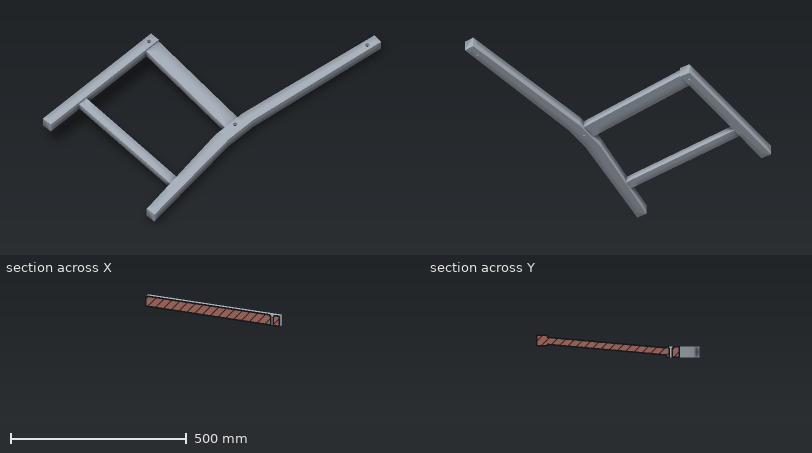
import cadquery as cq

overall_height = 901.0
overall_width = 65.0
leg_thickness = 31.5
front_leg_rise = 2.0

front_leg_depth = 31.5
front_leg_top = 436.0

post_front = 369.0
post_back = 408.0
back_bend_height = 436.0
foot_bend_front_height = 327.0
foot_bend_back_height = 340.0
back_bend_back_height = 439.5
foot_front = 421.0
foot_back = 451.0
back_top_front = 435.0
back_top_back = 465.0
back_top_drop = 4.0

rail_drop = 33.0
rail_front_mid_z = overall_width - leg_thickness / 2
stretcher_thickness = 20.0
seat_rail_thickness = 22.0
seat_rail_height = 50.0
seat_rail_fall = 20.0
stretcher_bottom = 115.0
stretcher_height = 30.0
stretcher_back = 402.0

hole_diameter = 6.0
counterbore_diameter = 13.0
counterbore_depth = 4.5
front_leg_hole = (16.0, 412.0)
post_hole = (383.0, 393.0)
back_hole = (446.0, 861.0)


def make_front_leg():
    return (
        cq.Workplane("XY")
        .box(front_leg_depth, front_leg_top - front_leg_rise, leg_thickness, centered=False)
        .translate((0, front_leg_rise, overall_width - leg_thickness))
    )


def make_rear_leg():
    outline = [
        (foot_front, 0),
        (foot_back, 0),
        (post_back, foot_bend_back_height),
        (post_back, back_bend_back_height),
        (back_top_back, overall_height - back_top_drop),
        (back_top_front, overall_height),
        (post_front, back_bend_height),
        (post_front, foot_bend_front_height),
    ]
    return cq.Workplane("XY").polyline(outline).close().extrude(leg_thickness)


def make_rail(outline, thickness):
    """Sloping rail: a band in XZ trimmed to the given outline in XY."""
    start = front_leg_depth / 2
    end = (post_front + post_back) / 2
    slope = rail_drop / (end - start)
    far = post_back
    mid_far = rail_front_mid_z - slope * (far - start)
    half = thickness / 2
    band = (
        cq.Workplane("XZ")
        .polyline([
            (start, rail_front_mid_z - half),
            (far, mid_far - half),
            (far, mid_far + half),
            (start, rail_front_mid_z + half),
        ])
        .close()
        .extrude(-overall_height)
    )
    blank = cq.Workplane("XY").polyline(outline).close().extrude(overall_width)
    return band.intersect(blank)


def make_seat_rail():
    start = front_leg_depth / 2
    end = (post_front + post_back) / 2
    back_top = front_leg_top - seat_rail_fall
    outline = [
        (start, front_leg_top - seat_rail_height),
        (end, back_top - seat_rail_height),
        (end, back_top),
        (start, front_leg_top),
    ]
    return make_rail(outline, seat_rail_thickness)


def make_stretcher():
    start = front_leg_depth / 2
    top = stretcher_bottom + stretcher_height
    outline = [
        (start, stretcher_bottom),
        (stretcher_back, stretcher_bottom),
        (stretcher_back, top),
        (start, top),
    ]
    return make_rail(outline, stretcher_thickness)


def make_screw_hole(position, top):
    bore = cq.Workplane("XY").circle(hole_diameter / 2).extrude(top)
    counterbore = (
        cq.Workplane("XY", origin=(0, 0, top - counterbore_depth))
        .circle(counterbore_diameter / 2)
        .extrude(counterbore_depth)
    )
    return bore.union(counterbore).translate((*position, 0))


result = make_front_leg().union(make_rear_leg()).union(make_seat_rail()).union(make_stretcher())
result = result.cut(make_screw_hole(front_leg_hole, overall_width))
for rear_hole in (post_hole, back_hole):
    result = result.cut(make_screw_hole(rear_hole, leg_thickness))